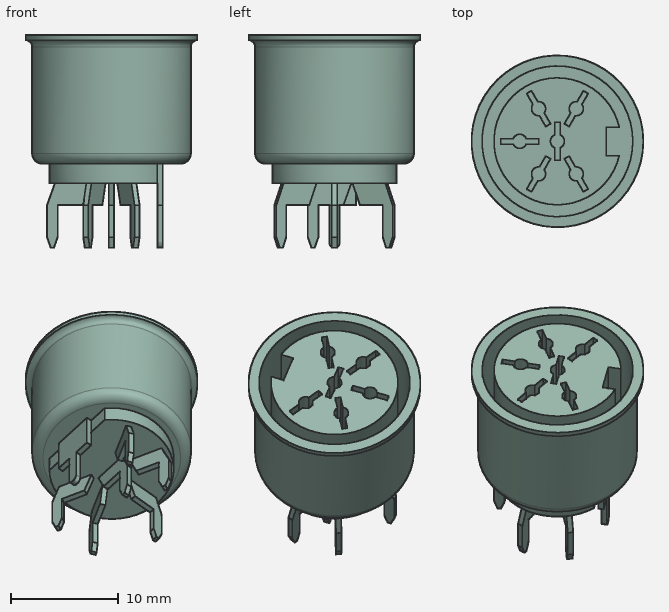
import cadquery as cq
import math

total_height = 19.8
shell_bottom = 7.8
boss_bottom = 6.0
web_bottom = 3.96
taper_start = 0.99

flange_radius = 8.0
flange_thickness = 0.5
shell_radius = 7.4
shell_wall = 0.4
shell_bottom_radius = 1.0
shell_floor = shell_bottom + shell_bottom_radius

insert_radius = 5.9
boss_radius = 5.78
boss_flat_x = 4.28
keyway_x = 4.55
keyway_width = 2.65

socket_circle_radius = 3.5
socket_angles = [60, 120, 180, 240, 300]
socket_bore_radius = 0.65
socket_slot_length = 3.55
socket_slot_width = 0.51
socket_depth = 7.92

sheet_thickness = 0.51
side_pin_angle = 66.5
pin_angles = [
    side_pin_angle,
    180 - side_pin_angle,
    180,
    180 + side_pin_angle,
    360 - side_pin_angle,
]
pin_outer_radius = 6.0
center_pin_outer = 2.5
pin_width = 1.0
pin_tip_width = 0.32
web_length = 3.33
web_slant = 0.73
pin_embedding = 0.2

tab_shoulder_width = 4.0
tab_width = 0.97
tab_corner_radius = 0.48


def make_shell():
    """Revolve the shell wall, its rounded bottom edge and its flared flange."""
    inner_radius = shell_radius - shell_wall
    flange_bottom = total_height - flange_thickness
    neck_radius = flange_radius - shell_radius
    neck_bottom = flange_bottom - neck_radius
    bottom_arc_x = shell_radius - shell_bottom_radius
    diagonal = math.sqrt(0.5)
    bottom_arc_middle = (
        bottom_arc_x + shell_bottom_radius * diagonal,
        shell_floor - shell_bottom_radius * diagonal,
    )
    neck_middle = (
        flange_radius - neck_radius * diagonal,
        neck_bottom + neck_radius * diagonal,
    )
    profile = (
        cq.Workplane("XZ")
        .moveTo(0, shell_bottom)
        .lineTo(bottom_arc_x, shell_bottom)
        .threePointArc(bottom_arc_middle, (shell_radius, shell_floor))
        .lineTo(shell_radius, neck_bottom)
        .threePointArc(neck_middle, (flange_radius, flange_bottom))
        .lineTo(flange_radius, total_height)
        .lineTo(inner_radius, total_height)
        .lineTo(inner_radius, shell_floor)
        .lineTo(0, shell_floor)
        .close()
    )
    return profile.revolve(360, (0, 0, 0), (0, 1, 0))


def make_socket(x, y, angle):
    """Cutter for one round bore crossed by a slot lying along the given angle."""
    bore = cq.Workplane("XY").circle(socket_bore_radius).extrude(-socket_depth)
    slot = cq.Workplane("XY").rect(socket_slot_length, socket_slot_width).extrude(-socket_depth)
    socket = bore.union(slot).rotate((0, 0, 0), (0, 0, 1), angle)
    return socket.translate((x, y, total_height))


def make_insert():
    """Insert with a keyway on its +X side and six sockets in its top face."""
    insert = (
        cq.Workplane("XY")
        .workplane(offset=shell_bottom)
        .circle(insert_radius)
        .extrude(total_height - shell_bottom)
    )
    keyway = cq.Workplane("XY").box(
        insert_radius, keyway_width, total_height, centered=(False, True, False)
    )
    insert = insert.cut(keyway.translate((keyway_x, 0, shell_floor)))
    insert = insert.cut(make_socket(0, 0, 90))
    for angle in socket_angles:
        x = socket_circle_radius * math.cos(math.radians(angle))
        y = socket_circle_radius * math.sin(math.radians(angle))
        insert = insert.cut(make_socket(x, y, angle))
    return insert


def make_boss():
    """Round boss below the shell, cut flat behind the ground tab."""
    boss = (
        cq.Workplane("XY")
        .workplane(offset=boss_bottom)
        .circle(boss_radius)
        .extrude(shell_floor - boss_bottom)
    )
    beyond_flat = cq.Workplane("XY").box(
        boss_radius, 2 * boss_radius, shell_bottom, centered=(False, True, False)
    )
    return boss.cut(beyond_flat.translate((boss_flat_x, 0, 0)))


def make_pin(outer_end, angle):
    """Flat pin: a slanted web with a pointed leg at its outer end."""
    inner_end = outer_end - web_length
    leg_inner = outer_end - pin_width
    tip_inset = (pin_width - pin_tip_width) / 2
    outline = (
        cq.Workplane("XZ")
        .moveTo(outer_end - web_slant, boss_bottom)
        .lineTo(outer_end, web_bottom)
        .lineTo(outer_end, taper_start)
        .lineTo(outer_end - tip_inset, 0)
        .lineTo(leg_inner + tip_inset, 0)
        .lineTo(leg_inner, taper_start)
        .lineTo(leg_inner, web_bottom)
        .lineTo(inner_end, web_bottom)
        .lineTo(inner_end - web_slant, boss_bottom)
        .lineTo(inner_end - web_slant, boss_bottom + pin_embedding)
        .lineTo(outer_end - web_slant, boss_bottom + pin_embedding)
        .close()
    )
    pin = outline.extrude(sheet_thickness / 2, both=True)
    return pin.rotate((0, 0, 0), (0, 0, 1), angle)


def make_ground_tab():
    """Tab against the boss flat: wide shoulder above, narrow rounded leg below."""
    shoulder = cq.Workplane("XY").box(
        sheet_thickness,
        tab_shoulder_width,
        shell_floor - web_bottom,
        centered=(False, True, False),
    )
    leg = cq.Workplane("XY").box(sheet_thickness, tab_width, web_bottom, centered=(False, True, False))
    leg = leg.edges("|X and <Z").fillet(tab_corner_radius)
    tab = leg.union(shoulder.translate((0, 0, web_bottom)))
    return tab.translate((boss_flat_x, 0, 0))


result = make_shell().union(make_insert()).union(make_boss()).union(make_ground_tab())
result = result.union(make_pin(center_pin_outer, 90))
for pin_angle in pin_angles:
    result = result.union(make_pin(pin_outer_radius, pin_angle))